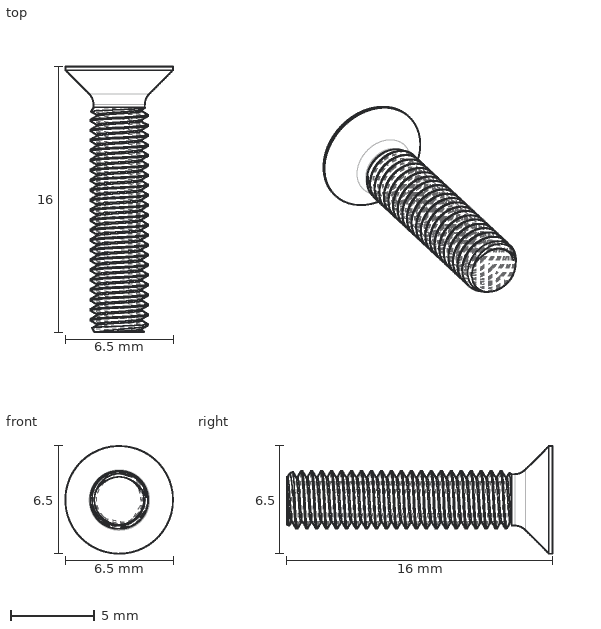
import math

import cadquery as cq

LENGTH = 16.0
HEAD_RADIUS = 6.5 / 2
RIM_THICKNESS = 0.22
RIM_FILLET = 0.05
CONE_ANGLE = math.radians(45)

MAJOR_RADIUS = 3.5 / 2
PITCH = 0.6
FLANK_ANGLE = math.radians(30)
SHARP_HEIGHT = PITCH / 2 / math.tan(FLANK_ANGLE)
CREST_TRUNCATION = SHARP_HEIGHT / 8
ROOT_TRUNCATION = SHARP_HEIGHT / 6
SHARP_CREST_RADIUS = MAJOR_RADIUS + CREST_TRUNCATION
ROOT_RADIUS = SHARP_CREST_RADIUS - SHARP_HEIGHT + ROOT_TRUNCATION
PITCH_RADIUS = SHARP_CREST_RADIUS - SHARP_HEIGHT / 2

NECK_RADIUS = PITCH_RADIUS
NECK_FILLET = 0.9
NECK_END = 2.47

END_CHAMFER_ANGLE = math.radians(30)
TIP_RADIUS = 1.49
START_CHAMFER_LENGTH = (MAJOR_RADIUS - NECK_RADIUS) / math.tan(END_CHAMFER_ANGLE)
TIP_CHAMFER_LENGTH = (MAJOR_RADIUS - TIP_RADIUS) / math.tan(END_CHAMFER_ANGLE)

TIP_PAD_RADIUS = 1.43
TIP_PAD_THICKNESS = 0.06

CREST_DEPTH = 3.10
OVERRUN_TURNS = 2
RIDGE_TURNS = math.ceil((LENGTH - CREST_DEPTH) / PITCH) + 2 * OVERRUN_TURNS
RIDGE_OVERLAP = 0.03
SEAM_ANGLE = 45

ORIGIN = (0, 0, 0)
AXIS = (0, 1, 0)


def make_head():
    """Rim, countersink cone and neck, with a tangent fillet between cone and neck."""

    def fillet_point(angle):
        """Point of the neck fillet where its tangent makes this angle with the screw axis."""
        radius = NECK_RADIUS + NECK_FILLET * (1 - math.cos(angle))
        return radius, -fillet_end + NECK_FILLET * math.sin(angle)

    fillet_top_radius = NECK_RADIUS + NECK_FILLET * (1 - math.cos(CONE_ANGLE))
    cone_length = (HEAD_RADIUS - fillet_top_radius) / math.tan(CONE_ANGLE)
    fillet_end = RIM_THICKNESS + cone_length + NECK_FILLET * math.sin(CONE_ANGLE)
    profile = (
        cq.Workplane("XY")
        .lineTo(HEAD_RADIUS, 0)
        .lineTo(HEAD_RADIUS, -RIM_THICKNESS)
        .lineTo(*fillet_point(CONE_ANGLE))
        .threePointArc(fillet_point(CONE_ANGLE / 2), fillet_point(0))
        .lineTo(NECK_RADIUS, -NECK_END)
        .lineTo(0, -NECK_END)
        .close()
    )
    return profile.revolve(360, ORIGIN, AXIS).faces(">Y").edges().fillet(RIM_FILLET)


def make_thread_blank():
    """Rod at the major diameter, chamfered at the neck and at the tip."""
    profile = (
        cq.Workplane("XY")
        .moveTo(0, -NECK_END)
        .lineTo(NECK_RADIUS, -NECK_END)
        .lineTo(MAJOR_RADIUS, -NECK_END - START_CHAMFER_LENGTH)
        .lineTo(MAJOR_RADIUS, -LENGTH + TIP_CHAMFER_LENGTH)
        .lineTo(TIP_RADIUS, -LENGTH)
        .lineTo(0, -LENGTH)
        .close()
    )
    return profile.revolve(360, ORIGIN, AXIS).rotate(ORIGIN, AXIS, SEAM_ANGLE)


def make_ridge():
    """Right-handed helical ridge with flat crest, its foot sunk into the core."""
    start = -CREST_DEPTH + (OVERRUN_TURNS - RIDGE_TURNS) * PITCH
    foot_radius = ROOT_RADIUS - RIDGE_OVERLAP
    crest_half_width = CREST_TRUNCATION * math.tan(FLANK_ANGLE)
    foot_half_width = (SHARP_CREST_RADIUS - foot_radius) * math.tan(FLANK_ANGLE)
    corners = [
        (foot_radius, -foot_half_width),
        (MAJOR_RADIUS, -crest_half_width),
        (MAJOR_RADIUS, crest_half_width),
        (foot_radius, foot_half_width),
    ]
    height = RIDGE_TURNS * PITCH
    helices = [
        cq.Wire.makeHelix(PITCH, height, radius, cq.Vector(0, start + offset, 0), cq.Vector(AXIS))
        for radius, offset in corners
    ]
    faces = [cq.Face.makeRuledSurface(helix, helices[i - 1]) for i, helix in enumerate(helices)]
    start_corners = [helix.startPoint() for helix in helices]
    end_corners = [helix.endPoint() for helix in helices]
    for cap in (start_corners, end_corners):
        faces.append(cq.Face.makeFromWires(cq.Wire.makePolygon(cap, close=True)))
    return cq.Workplane(cq.Solid.makeSolid(cq.Shell.makeShell(faces)).fix())


def make_cylinder(radius, top, length):
    """Cylinder on the screw axis that runs from the given height towards the tip."""
    return cq.Workplane("XZ", origin=(0, top, 0)).circle(radius).extrude(length)


def make_thread():
    """Core at the root diameter and tip pad, with the ridge trimmed to the chamfered blank."""
    core = make_cylinder(ROOT_RADIUS, -NECK_END, LENGTH - NECK_END)
    tip_pad = make_cylinder(TIP_PAD_RADIUS, -LENGTH + TIP_PAD_THICKNESS, TIP_PAD_THICKNESS)
    ridge = make_ridge().intersect(make_thread_blank())
    return core.union(ridge).union(tip_pad)


result = make_head().union(make_thread())